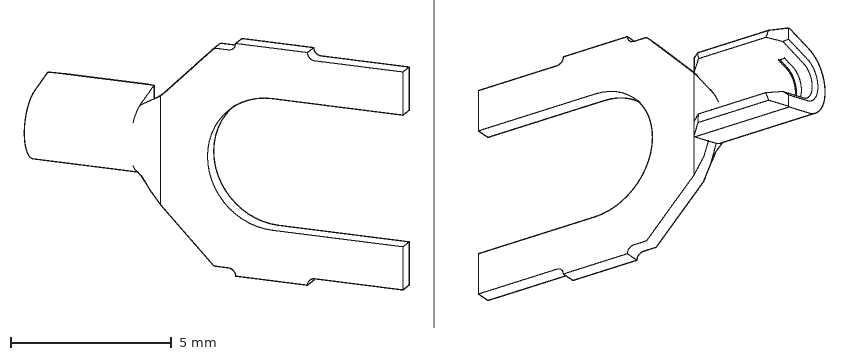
import cadquery as cq
import math

stock = 0.53
overall_length = 12.7

barrel_length = 3.55
outer_radius = 1.15
inner_radius = outer_radius - stock
arm_flare = math.radians(13.5)
barrel_depth = 2.54
bevel_start_depth = 2.0
tip_width = 0.27
ear_corner_cut = 0.51
mouth_chamfer = 0.13

groove_start = 0.53
groove_width = 0.23
groove_depth = 0.06
groove_reach = 1.46

neck_end = 4.57
neck_middle = 4.09
neck_front_half_width = 1.47
neck_front_edge_depth = 0.33
neck_ridge_half_width = 1.35
neck_ridge_depth = 0.7
neck_flank_angle = math.radians(17.5)

root_half_width = 1.79
shoulder_half_width = 3.58
pad_half_width = 3.82
pad_start = 7.09
pad_end = 9.5
shoulder_radius = 0.13
slot_half_width = 2.16
slot_bottom = 6.15


def arm_point(radius, along=0.0):
    """(y, z) on the upper arm face that leaves the arc of this radius, at a distance along it."""
    depth = outer_radius - radius * math.sin(arm_flare) + along * math.cos(arm_flare)
    height = radius * math.cos(arm_flare) + along * math.sin(arm_flare)
    return depth, height


def along_arm(radius, depth):
    """Distance along the arm at which the surface of this radius reaches the given depth."""
    return (depth - outer_radius + radius * math.sin(arm_flare)) / math.cos(arm_flare)


def mirrored(point):
    """The same (y, z) point on the other side of the centre plane."""
    return point[0], -point[1]


def channel_outline(plane, radius, depth):
    """Closed U: an arc with two flared sides, closed straight across at the given depth."""
    tangent = arm_point(radius)
    end = arm_point(radius, along_arm(radius, depth))
    return (
        plane.moveTo(*end)
        .lineTo(*tangent)
        .threePointArc((outer_radius - radius, 0), mirrored(tangent))
        .lineTo(*mirrored(end))
        .close()
    )


def make_barrel():
    tip_along = along_arm(inner_radius, barrel_depth)
    outer_tangent = arm_point(outer_radius)
    bevel_start = arm_point(outer_radius, along_arm(outer_radius, bevel_start_depth))
    bevel_end = arm_point(inner_radius + tip_width, tip_along)
    tip = arm_point(inner_radius, tip_along)
    inner_tangent = arm_point(inner_radius)
    barrel = (
        cq.Workplane("YZ")
        .moveTo(*tip)
        .lineTo(*bevel_end)
        .lineTo(*bevel_start)
        .lineTo(*outer_tangent)
        .threePointArc((0, 0), mirrored(outer_tangent))
        .lineTo(*mirrored(bevel_start))
        .lineTo(*mirrored(bevel_end))
        .lineTo(*mirrored(tip))
        .lineTo(*mirrored(inner_tangent))
        .threePointArc((stock, 0), inner_tangent)
        .close()
        .extrude(barrel_length)
    )

    for end, inward in ((0, 1), (barrel_length, -1)):
        corner = (
            cq.Workplane("XY")
            .polyline([
                (end, barrel_depth - ear_corner_cut),
                (end, barrel_depth),
                (end + inward * ear_corner_cut, barrel_depth),
            ])
            .close()
            .extrude(2 * outer_radius, both=True)
        )
        barrel = barrel.cut(corner)

    mouth = channel_outline(cq.Workplane("YZ"), inner_radius + mouth_chamfer, barrel_depth)
    mouth = channel_outline(mouth.workplane(offset=mouth_chamfer), inner_radius, barrel_depth)
    barrel = barrel.cut(mouth.loft(ruled=True))

    groove_plane = cq.Workplane("YZ", origin=(groove_start, 0, 0))
    groove = channel_outline(groove_plane, inner_radius + groove_depth, groove_reach)
    return barrel.cut(groove.extrude(groove_width))


def barrel_end_section(plane):
    """Ring sector of the barrel wall, in the YZ plane."""
    front_edge = (
        outer_radius * (1 - math.sin(neck_flank_angle)),
        outer_radius * math.cos(neck_flank_angle),
    )
    back_edge = arm_point(inner_radius)
    return (
        plane.moveTo(*front_edge)
        .threePointArc((0, 0), mirrored(front_edge))
        .lineTo(*mirrored(back_edge))
        .threePointArc((stock, 0), back_edge)
        .close()
    )


def ridge_section(plane):
    """Bowed front face and straight back ridge, in the YZ plane."""
    front_edge = (neck_front_edge_depth, neck_front_half_width)
    back_edge = (neck_ridge_depth, neck_ridge_half_width)
    return (
        plane.moveTo(*front_edge)
        .threePointArc((0, 0), mirrored(front_edge))
        .lineTo(*mirrored(back_edge))
        .lineTo(*back_edge)
        .close()
    )


def fork_root_section(plane):
    """Flat strip where the neck meets the fork, in the YZ plane."""
    front_edge = (0, root_half_width)
    back_edge = (stock, root_half_width)
    return (
        plane.moveTo(*front_edge)
        .lineTo(*mirrored(front_edge))
        .lineTo(*mirrored(back_edge))
        .lineTo(*back_edge)
        .close()
    )


def make_neck():
    rear = barrel_end_section(cq.Workplane("YZ", origin=(barrel_length, 0, 0)))
    rear = ridge_section(rear.workplane(offset=neck_middle - barrel_length)).loft(ruled=True)
    front = ridge_section(cq.Workplane("YZ", origin=(neck_middle, 0, 0)))
    front = fork_root_section(front.workplane(offset=neck_end - neck_middle)).loft(ruled=True)
    return rear.union(front)


def make_fork():
    shoulder = neck_end + shoulder_half_width - root_half_width
    step = pad_half_width - shoulder_half_width
    slot_centre = slot_bottom + slot_half_width
    diagonal = math.sqrt(0.5)
    cove = step * (1 - diagonal)

    def fork_half(side):
        """Half of the fork on one side (+1 or -1) of the centre plane."""
        return (
            cq.Workplane("XZ")
            .moveTo(neck_end, 0)
            .lineTo(neck_end, side * root_half_width)
            .lineTo(shoulder, side * shoulder_half_width)
            .lineTo(pad_start - step, side * shoulder_half_width)
            .threePointArc(
                (pad_start - cove, side * (shoulder_half_width + cove)),
                (pad_start, side * pad_half_width),
            )
            .lineTo(pad_end, side * pad_half_width)
            .threePointArc(
                (pad_end + cove, side * (shoulder_half_width + cove)),
                (pad_end + step, side * shoulder_half_width),
            )
            .lineTo(overall_length, side * shoulder_half_width)
            .lineTo(overall_length, side * slot_half_width)
            .lineTo(slot_centre, side * slot_half_width)
            .threePointArc(
                (slot_centre - slot_half_width * diagonal, side * slot_half_width * diagonal),
                (slot_bottom, 0),
            )
            .close()
            .extrude(-stock)
        )

    fork = fork_half(1).union(fork_half(-1))
    for side in (1, -1):
        corner = (shoulder, stock / 2, side * shoulder_half_width)
        fork = fork.edges(cq.selectors.NearestToPointSelector(corner)).fillet(shoulder_radius)
    return fork


result = make_barrel().union(make_neck()).union(make_fork())